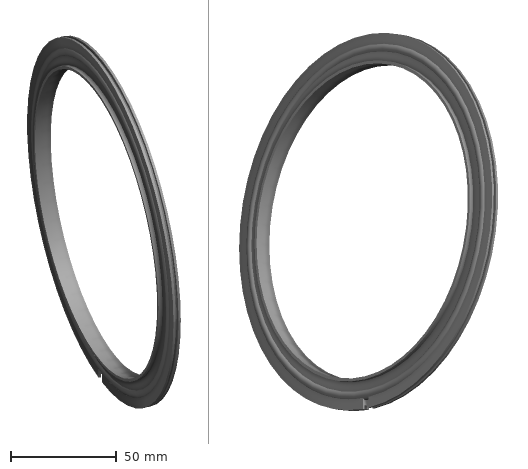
import cadquery as cq

outer_radius = 89.7
bore_radius = 149.8 / 2
lip_radius = 152.7 / 2
lip_width = 8.0
web_width = 3.8
seal_center_radius = 82.7
seal_radius = 5.2 / 2
groove_width = 1.5
groove_depth = 1.8
slot_width = 4.0


def annulus(inner, outer, width):
    """Flat ring around the Y axis, centered on the XZ plane."""
    disc = cq.Workplane("XZ", origin=(0, width / 2, 0)).circle(outer).circle(inner)
    return disc.extrude(width)


def make_seal():
    """O-ring with a round cross-section."""
    section = cq.Workplane("XY").center(seal_center_radius, 0).circle(seal_radius)
    return section.revolve(360, (-seal_center_radius, 0), (-seal_center_radius, 1))


def make_inner_ring(seal):
    """Wide sleeve with a thin web whose edge is hollowed to seat the O-ring."""
    sleeve = annulus(bore_radius, lip_radius, lip_width)
    web = annulus(lip_radius, seal_center_radius, web_width)
    return sleeve.union(web).cut(seal)


def make_outer_ring(seal):
    """Split ring clasping the O-ring from outside, with a groove around its rim."""
    ring = annulus(seal_center_radius, outer_radius, web_width).cut(seal)
    groove = annulus(outer_radius - groove_depth, outer_radius + groove_depth, groove_width)
    slot = cq.Workplane("XY").box(slot_width, web_width, outer_radius, centered=(True, True, False))
    return ring.cut(groove).cut(slot.translate((0, 0, -outer_radius)))


seal = make_seal()
inner_ring = make_inner_ring(seal)
outer_ring = make_outer_ring(seal)

result = cq.Compound.makeCompound([*inner_ring.solids().vals(), seal.val(), *outer_ring.solids().vals()])